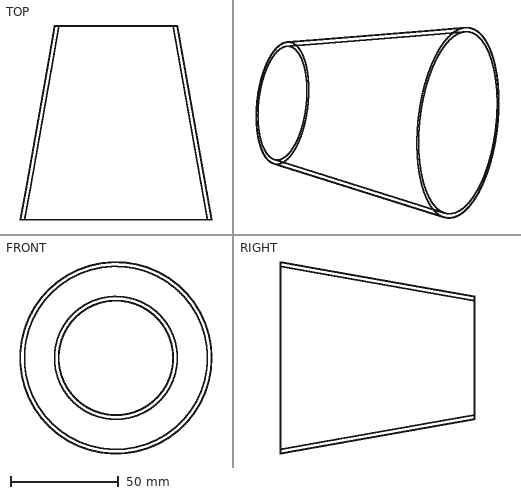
import cadquery as cq

LENGTH = 90.0
LARGE_DIAMETER = 88.9
SMALL_DIAMETER = 57.0
WALL = 2.0

large_radius = LARGE_DIAMETER / 2
small_radius = SMALL_DIAMETER / 2


def reducer():
    """Revolve the sloping wall section about the Y axis."""
    wall_section = (
        cq.Workplane("XY")
        .moveTo(large_radius - WALL, 0)
        .lineTo(large_radius, 0)
        .lineTo(small_radius, LENGTH)
        .lineTo(small_radius - WALL, LENGTH)
        .close()
    )
    return wall_section.revolve(360, (0, 0, 0), (0, 1, 0))


result = reducer()